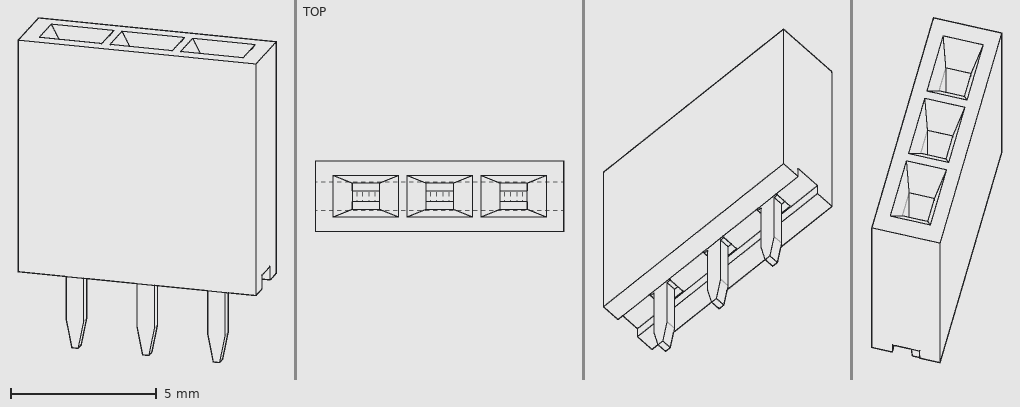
import cadquery as cq

total_height = 11.38
housing_length = 8.54
housing_width = 2.42
housing_height = 8.43

contact_count = 3
pitch = 2.54

groove_width = 0.97
groove_depth = 0.5

entry_length = 2.24
entry_width = 1.42
passage_length = 0.93
passage_width = 0.9
entry_depth = 1.0

pin_thickness = 0.38
leg_width = 0.63
tip_width = 0.23
tip_height = 1.0
head_height = 3.41

housing_bottom = total_height - housing_height
groove_ceiling = housing_bottom + groove_depth
passage_top = total_height - entry_depth
head_top = groove_ceiling + head_height

contact_positions = [(index - (contact_count - 1) / 2) * pitch for index in range(contact_count)]


def make_entry(x):
    """Cutter for one rectangular funnel, widening up to the housing top."""
    return (
        cq.Workplane("XY", origin=(x, 0, passage_top))
        .rect(passage_length, passage_width)
        .workplane(offset=entry_depth)
        .rect(entry_length, entry_width)
        .loft(ruled=True)
    )


def make_passage(x):
    """Cutter for one straight passage from the groove ceiling to its funnel."""
    return (
        cq.Workplane("XY", origin=(x, 0, groove_ceiling))
        .rect(passage_length, passage_width)
        .extrude(passage_top - groove_ceiling)
    )


def make_housing():
    """Block with a full-length groove underneath and one opening per contact."""
    body = (
        cq.Workplane("XY", origin=(0, 0, housing_bottom))
        .rect(housing_length, housing_width)
        .extrude(housing_height)
    )
    groove = (
        cq.Workplane("XY", origin=(0, 0, housing_bottom))
        .rect(housing_length, groove_width)
        .extrude(groove_depth)
    )
    body = body.cut(groove)
    for x in contact_positions:
        body = body.cut(make_passage(x)).cut(make_entry(x))
    return body


def make_pin(x):
    """Flat pin whose head touches both end walls of its passage."""
    right_side = [
        (tip_width / 2, 0),
        (leg_width / 2, tip_height),
        (leg_width / 2, groove_ceiling),
        (passage_length / 2, groove_ceiling),
        (passage_length / 2, head_top),
    ]
    left_side = [(-half_width, z) for half_width, z in reversed(right_side)]
    return (
        cq.Workplane("XZ", origin=(x, 0, 0))
        .polyline(right_side + left_side)
        .close()
        .extrude(pin_thickness / 2, both=True)
    )


housing = make_housing()
pins = [make_pin(x) for x in contact_positions]

result = cq.Compound.makeCompound([housing.val(), *[pin.val() for pin in pins]])